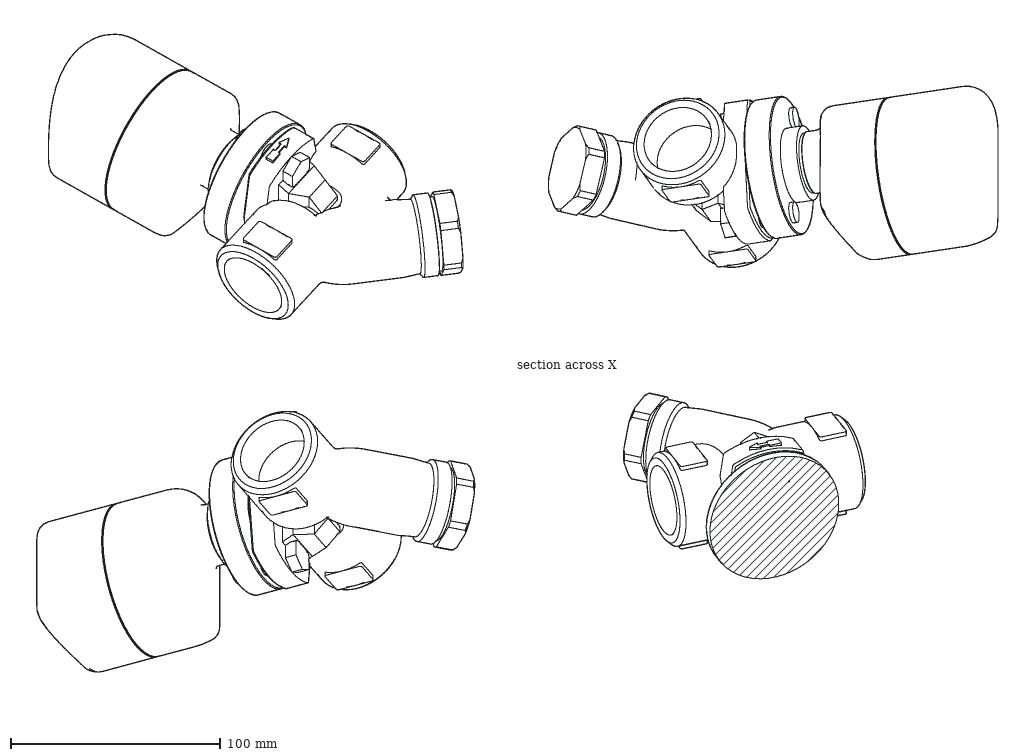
import cadquery as cq
import math


CLEARANCE = 1.0

FLOAT_DIA = 76.0
FLOAT_AXIS_Z = -14.3
FLOAT_LEFT = -143.85
FLOAT_RIGHT = -61.0
FLOAT_END_RADIUS = 65.0
FLOAT_CORNER_RADIUS = 7.0
FLOAT_BEVEL = 20.0
GROOVE_X = -98.1
GROOVE_WIDTH = 0.6
GROOVE_DEPTH = 0.3

NECK_DIA = 30.0
NECK_ROOT_DEPTH = 7.5
NECK_FILLET = 3.5
NECK_GROOVE_WIDTH = 1.6
NECK_GROOVE_DIA = 29.0
COLLAR_DIA = 36.0
COLLAR_LEFT = -51.6
FLANGE_DIA = 67.0
FLANGE_LEFT = -43.4
FLANGE_RIGHT = -30.1
FLANGE_CHAMFER = 0.5

PLATE_LEFT = -28.0
PLATE_RIGHT = -15.4
PLATE_HALF_WIDTH = 22.7
PLATE_CORNER_Y = 18.2
PLATE_CORNER_Z = 29.0
PLATE_CHAMFER = 1.0
PLATE_CORNER_RADIUS = 1.5
ARROW_X = -22.7
ARROW_TOP = 34.2
ARROW_LENGTH = 15.8
ARROW_HEAD_LENGTH = 5.0
ARROW_HEAD_WIDTH = 4.6
ARROW_SHAFT_WIDTH = 2.0
ARROW_TAIL_LENGTH = 6.0
ARROW_TAIL_WIDTH = 4.0

BOLT_PITCH_RADIUS = 25.4
BOLT_DIA = 10.0
BOLT_TIP_X = -45.4
BOLT_HEAD_FLATS = 14.2
BOLT_HEAD_HEIGHT = 5.6

PIPE_DIA = 46.0
PIPE_FRONT = -53.0
PIPE_BACK = 43.0
PIPE_INNER_END = 10.0
PIPE_INNER_RADIUS = 10.8
PIPE_CHAMFER = 2.2
CORE_DIA = PIPE_DIA - 2 * PIPE_INNER_RADIUS
BORE_DIA = 33.9
BORE_DEPTH = 20.0
PAD_WIDTH = 19.6
PAD_LENGTH = 14.0
PAD_END_GAP = 5.0
PAD_CORNER_RADIUS = 1.0

BLOCK_TOP = 20.0
BLOCK_ROOT_TOP = 22.5
BLOCK_ROOT_WIDTH = 21.0
BLOCK_TIP_WIDTH = 13.0
BLOCK_SHOULDER_X = -9.6
BLOCK_SLOPE_X = -0.3
BLOCK_TIP_X = 7.0
BLOCK_TIP_TOP = 13.0

ARM_START_Y = -29.1
ARM_ANGLE = 45.0
ARM_ROOT_DIA = 30.5
ARM_DIA = 37.6
ARM_WAIST_DIA = 36.0
ARM_ROOT_END = 16.0
ARM_FULL_START = 32.0
ARM_TAPER_START = 56.6
ARM_BACK_FILLET = 5.0
ARM_FRONT_FILLET = 3.0
SEAM_MIN_X = 2.0
ARM_COLLAR_DIA = 40.0
ARM_COLLAR_START = 66.0
ARM_COLLAR_SLOPE = 1.5
ARM_COLLAR_END = 73.0
CAP_NECK_DIA = 36.0
CAP_START = 75.0
CAP_END = 84.5
CAP_FLATS = 38.0
CAP_TURNED_DIA = 42.0
CAP_CHAMFER = 1.0

PIPE_ENDS = ((1, PIPE_BACK, ARM_BACK_FILLET), (-1, PIPE_FRONT, ARM_FRONT_FILLET))


def x_cylinder(diameter, x_start, x_end, z=0.0):
    return cq.Workplane("YZ", origin=(x_start, 0, z)).circle(diameter / 2).extrude(x_end - x_start)


def hexagon_corner_dia(across_flats):
    return across_flats / math.cos(math.radians(30))


def make_float():
    radius = FLOAT_DIA / 2
    bottom = FLOAT_AXIS_Z - radius
    end_drop = FLOAT_END_RADIUS - math.sqrt(FLOAT_END_RADIUS**2 - radius**2)
    plan = (
        cq.Workplane("XY", origin=(0, 0, bottom))
        .moveTo(FLOAT_LEFT + end_drop, -radius)
        .lineTo(FLOAT_RIGHT - end_drop, -radius)
        .threePointArc((FLOAT_RIGHT, 0), (FLOAT_RIGHT - end_drop, radius))
        .lineTo(FLOAT_LEFT + end_drop, radius)
        .threePointArc((FLOAT_LEFT, 0), (FLOAT_LEFT + end_drop, -radius))
        .close()
        .extrude(FLOAT_DIA)
    )
    housing = x_cylinder(FLOAT_DIA, FLOAT_LEFT, FLOAT_RIGHT, FLOAT_AXIS_Z).intersect(plan)
    for x_end, inward in ((FLOAT_LEFT, 1), (FLOAT_RIGHT, -1)):
        wedge = (
            cq.Workplane("XZ")
            .polyline([(x_end, bottom), (x_end + inward * FLOAT_BEVEL, bottom), (x_end, bottom + FLOAT_BEVEL)])
            .close()
            .extrude(radius, both=True)
        )
        housing = housing.cut(wedge)
    housing = housing.edges().fillet(FLOAT_CORNER_RADIUS)
    groove = x_cylinder(FLOAT_DIA + CLEARANCE, GROOVE_X, GROOVE_X + GROOVE_WIDTH, FLOAT_AXIS_Z).cut(
        x_cylinder(FLOAT_DIA - 2 * GROOVE_DEPTH, GROOVE_X, GROOVE_X + GROOVE_WIDTH, FLOAT_AXIS_Z)
    )
    return housing.cut(groove)


def make_neck_and_flange():
    flange = x_cylinder(FLANGE_DIA, FLANGE_LEFT, FLANGE_RIGHT).edges().chamfer(FLANGE_CHAMFER)
    return (
        x_cylinder(NECK_DIA, FLOAT_RIGHT - NECK_ROOT_DEPTH, COLLAR_LEFT - NECK_GROOVE_WIDTH)
        .union(x_cylinder(NECK_GROOVE_DIA, COLLAR_LEFT - NECK_GROOVE_WIDTH, COLLAR_LEFT))
        .union(x_cylinder(COLLAR_DIA, COLLAR_LEFT, PLATE_LEFT))
        .union(flange)
    )


def make_arrow():
    tip = ARROW_LENGTH / 2
    head = ARROW_HEAD_WIDTH / 2
    shaft = ARROW_SHAFT_WIDTH / 2
    tail = ARROW_TAIL_WIDTH / 2
    half_outline = [
        (head, tip - ARROW_HEAD_LENGTH),
        (shaft, tip - ARROW_HEAD_LENGTH),
        (shaft, ARROW_TAIL_LENGTH - tip),
        (tail, ARROW_TAIL_LENGTH - tip),
        (tail, -tip),
    ]
    mirrored = [(-x, y) for x, y in reversed(half_outline)]
    return (
        cq.Workplane("XY", origin=(ARROW_X, 0, PLATE_CORNER_Z))
        .polyline([(0, tip)] + half_outline + mirrored)
        .close()
        .extrude(ARROW_TOP - PLATE_CORNER_Z)
    )


def make_plate():
    crown = FLANGE_DIA / 2
    plate = (
        cq.Workplane("YZ", origin=(PLATE_LEFT, 0, 0))
        .moveTo(PLATE_HALF_WIDTH, 0)
        .lineTo(PLATE_CORNER_Y, PLATE_CORNER_Z)
        .threePointArc((0, crown), (-PLATE_CORNER_Y, PLATE_CORNER_Z))
        .lineTo(-PLATE_HALF_WIDTH, 0)
        .lineTo(-PLATE_CORNER_Y, -PLATE_CORNER_Z)
        .threePointArc((0, -crown), (PLATE_CORNER_Y, -PLATE_CORNER_Z))
        .close()
        .extrude(PLATE_RIGHT - PLATE_LEFT)
    )
    corners = plate.edges("|X").edges(">Z or <Z")
    plate = corners.fillet(PLATE_CORNER_RADIUS)
    return plate.faces("<X").edges().chamfer(PLATE_CHAMFER).union(make_arrow())


def make_bolt(z):
    head = (
        cq.Workplane("YZ", origin=(PLATE_RIGHT, 0, z))
        .transformed(rotate=(0, 0, 90))
        .polygon(6, hexagon_corner_dia(BOLT_HEAD_FLATS))
        .extrude(BOLT_HEAD_HEIGHT)
    )
    return x_cylinder(BOLT_DIA, BOLT_TIP_X, PLATE_RIGHT, z).union(head)


def make_pipe_end(direction, y_outer):
    length = abs(y_outer) - PIPE_INNER_END
    stub = cq.Workplane("XZ", origin=(0, direction * PIPE_INNER_END, 0)).circle(PIPE_DIA / 2)
    stub = stub.extrude(-direction * length)
    outer, inner = (">Y", "<Y") if direction > 0 else ("<Y", ">Y")
    stub = stub.faces(outer).edges().chamfer(PIPE_CHAMFER)
    stub = stub.faces(inner).edges().fillet(PIPE_INNER_RADIUS)
    return stub


def make_pad(direction, y_outer):
    pad_y = y_outer - direction * (PAD_END_GAP + PAD_LENGTH / 2)
    pad = cq.Workplane("XY").center(0, pad_y).box(PAD_WIDTH, PAD_LENGTH, PIPE_DIA)
    return pad.edges("|Z").fillet(PAD_CORNER_RADIUS)


def make_bore(direction, y_outer):
    return cq.Workplane("XZ", origin=(0, y_outer, 0)).circle(BORE_DIA / 2).extrude(direction * BORE_DEPTH)


def make_centre_block():
    side = [
        (PLATE_RIGHT, BLOCK_ROOT_TOP),
        (BLOCK_SHOULDER_X, BLOCK_TOP),
        (BLOCK_SLOPE_X, BLOCK_TOP),
        (BLOCK_TIP_X, BLOCK_TIP_TOP),
    ]
    lower_side = [(x, -z) for x, z in reversed(side)]
    elevation = cq.Workplane("XZ").polyline(side + lower_side).close().extrude(BLOCK_ROOT_WIDTH, both=True)
    root = BLOCK_ROOT_WIDTH / 2
    tip = BLOCK_TIP_WIDTH / 2
    plan = (
        cq.Workplane("XY")
        .polyline([
            (PLATE_RIGHT, root), (BLOCK_SHOULDER_X, root), (BLOCK_SLOPE_X, tip), (BLOCK_TIP_X, tip),
            (BLOCK_TIP_X, -tip), (BLOCK_SLOPE_X, -tip), (BLOCK_SHOULDER_X, -root), (PLATE_RIGHT, -root),
        ])
        .close()
        .extrude(BLOCK_ROOT_TOP, both=True)
    )
    return elevation.intersect(plan)


def make_arm():
    barrel = (
        cq.Workplane("XZ")
        .moveTo(CAP_START, 0)
        .lineTo(CAP_START, CAP_NECK_DIA / 2)
        .lineTo(ARM_COLLAR_END, CAP_NECK_DIA / 2)
        .lineTo(ARM_COLLAR_END, ARM_COLLAR_DIA / 2)
        .lineTo(ARM_COLLAR_START, ARM_COLLAR_DIA / 2)
        .lineTo(ARM_COLLAR_START - ARM_COLLAR_SLOPE, ARM_WAIST_DIA / 2)
        .lineTo(ARM_TAPER_START, ARM_DIA / 2)
        .lineTo(ARM_FULL_START, ARM_DIA / 2)
        .tangentArcPoint((ARM_ROOT_END, ARM_ROOT_DIA / 2), relative=False)
        .lineTo(0, ARM_ROOT_DIA / 2)
        .lineTo(0, 0)
        .close()
        .revolve(360, (0, 0, 0), (1, 0, 0))
    )
    cap = (
        cq.Workplane("YZ", origin=(CAP_START, 0, 0))
        .polygon(6, hexagon_corner_dia(CAP_FLATS))
        .extrude(CAP_END - CAP_START)
    )
    turned = x_cylinder(CAP_TURNED_DIA, CAP_START, CAP_END).faces(">X").chamfer(CAP_CHAMFER)
    cap = cap.intersect(turned)
    arm = barrel.union(cap)
    return arm.rotate((0, 0, 0), (0, 0, 1), ARM_ANGLE).translate((0, ARM_START_Y, 0))


def make_float_and_neck():
    joined = make_float().union(make_neck_and_flange())
    reach = NECK_DIA / 2 + CLEARANCE
    near_corner = (FLOAT_RIGHT - NECK_ROOT_DEPTH, -reach, -reach)
    far_corner = (FLOAT_RIGHT + CLEARANCE, reach, reach)
    root_edges = cq.selectors.BoxSelector(near_corner, far_corner, True)
    return joined.edges(root_edges).fillet(NECK_FILLET)


def join_arm(direction, y_outer, fillet):
    joined = make_pipe_end(direction, y_outer).union(make_arm())
    seam = [edge for edge in joined.edges("%BSPLINE").vals() if edge.Center().x > SEAM_MIN_X]
    return joined.newObject(seam).fillet(fillet)


def make_valve_body():
    core = cq.Workplane("XZ", origin=(0, PIPE_INNER_END, 0)).circle(CORE_DIA / 2).extrude(2 * PIPE_INNER_END)
    body = core.union(make_centre_block())
    for direction, y_outer, fillet in PIPE_ENDS:
        body = body.union(join_arm(direction, y_outer, fillet)).union(make_pad(direction, y_outer))
    for direction, y_outer, _ in PIPE_ENDS:
        body = body.cut(make_bore(direction, y_outer))
    return body


result = make_float_and_neck().union(make_plate()).union(make_valve_body())
for bolt_z in (-BOLT_PITCH_RADIUS, BOLT_PITCH_RADIUS):
    result = result.union(make_bolt(bolt_z))